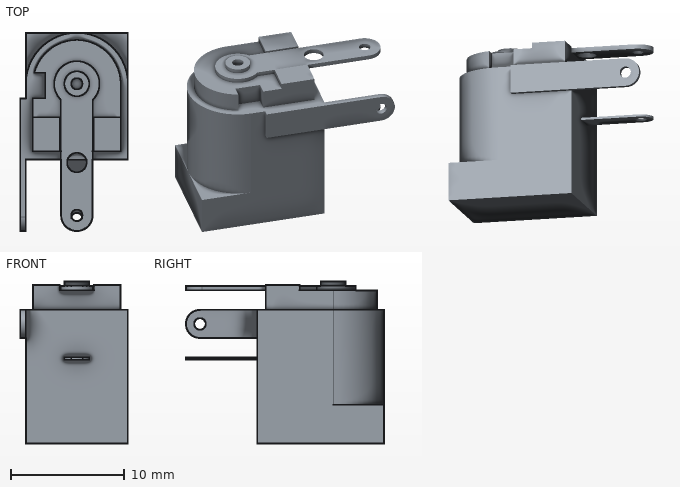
import cadquery as cq

body_width = 9.0
body_front_y = -6.7
body_height = 11.8
base_height = 3.4

cap_radius = 3.87
cap_front_y = -5.95
cap_height = 1.7
block_length = 3.0
block_inner_x = 1.5
block_rise = 0.5

notch_inner_x = -2.8
notch_back_y = 0.97
notch_front_y = -1.28

terminal_tip_y = -13.0
terminal_hole_radius = 0.5

top_terminal_width = 2.8
top_terminal_thickness = 0.4
top_terminal_eye_radius = 2.0
window_radius = 0.86
window_y = -6.95

rivet_radius = 1.1
rivet_rise = 0.4
rivet_hole_radius = 0.5

side_terminal_width = 2.5
side_terminal_thickness = 0.5

lower_terminal_width = 2.2
lower_terminal_thickness = 0.2
lower_terminal_z = 7.4

body_radius = body_width / 2
cap_top_z = body_height + cap_height
rivet_base_z = cap_top_z + top_terminal_thickness
rivet_hole_depth = rivet_rise + top_terminal_thickness


def box_between(x_range, y_range, z_range):
    """Box spanning the given (low, high) limits on each axis."""
    size = [high - low for low, high in (x_range, y_range, z_range)]
    corner = (x_range[0], y_range[0], z_range[0])
    return cq.Workplane("XY").box(*size, centered=False).translate(corner)


def cylinder(radius, height, base_z, y=0):
    """Upright cylinder on the plane of symmetry X = 0."""
    return cq.Workplane("XY", origin=(0, y, base_z)).circle(radius).extrude(height)


def rounded_back_block(radius, front_y, base_z, height):
    """Block with a straight front and a half-round back centred on the barrel axis."""
    return (
        cq.Workplane("XY", origin=(0, 0, base_z))
        .moveTo(-radius, front_y)
        .lineTo(radius, front_y)
        .lineTo(radius, 0)
        .threePointArc((0, radius), (-radius, 0))
        .close()
        .extrude(height)
    )


def flat_terminal(width, thickness, root_y):
    """Horizontal strip from root_y to the tip, with a round end and a hole at its centre."""
    radius = width / 2
    end_y = terminal_tip_y + radius
    return (
        cq.Workplane("XY")
        .moveTo(-radius, root_y)
        .lineTo(-radius, end_y)
        .threePointArc((0, terminal_tip_y), (radius, end_y))
        .lineTo(radius, root_y)
        .close()
        .moveTo(0, end_y)
        .circle(terminal_hole_radius)
        .extrude(thickness)
    )


def make_body():
    base = box_between((-body_radius, body_radius), (body_front_y, body_radius), (0, base_height))
    wall = rounded_back_block(body_radius, body_front_y, base_height, body_height - base_height)
    return base.union(wall)


def make_cap():
    cap = rounded_back_block(cap_radius, cap_front_y, body_height, cap_height)
    block_y = (cap_front_y, cap_front_y + block_length)
    block_z = (body_height, cap_top_z + block_rise)
    for block_x in ((-cap_radius, -block_inner_x), (block_inner_x, cap_radius)):
        cap = cap.union(box_between(block_x, block_y, block_z))
    notch = box_between(
        (-cap_radius, notch_inner_x), (notch_front_y, notch_back_y), (body_height, cap_top_z)
    )
    return cap.cut(notch)


def make_top_terminal():
    """Strip with a round eye on the barrel axis, a window hole and a hollow rivet head."""
    strip = flat_terminal(top_terminal_width, top_terminal_thickness, 0).translate((0, 0, cap_top_z))
    eye = cylinder(top_terminal_eye_radius, top_terminal_thickness, cap_top_z)
    window = cylinder(window_radius, top_terminal_thickness, cap_top_z, window_y)
    rivet = cylinder(rivet_radius, rivet_rise, rivet_base_z)
    rivet_hole = cylinder(rivet_hole_radius, rivet_hole_depth, cap_top_z)
    return strip.union(eye).cut(window).union(rivet).cut(rivet_hole)


def make_side_terminal():
    """Upright strip on the -X wall, its upper edge level with the top of the body."""
    upright = flat_terminal(side_terminal_width, side_terminal_thickness, notch_front_y).rotate(
        (0, 0, 0), (0, 1, 0), -90
    )
    return upright.translate((-body_radius, 0, body_height - side_terminal_width / 2))


def make_lower_terminal():
    strip = flat_terminal(lower_terminal_width, lower_terminal_thickness, body_front_y)
    return strip.translate((0, 0, lower_terminal_z))


result = (
    make_body()
    .union(make_cap())
    .union(make_top_terminal())
    .union(make_side_terminal())
    .union(make_lower_terminal())
)